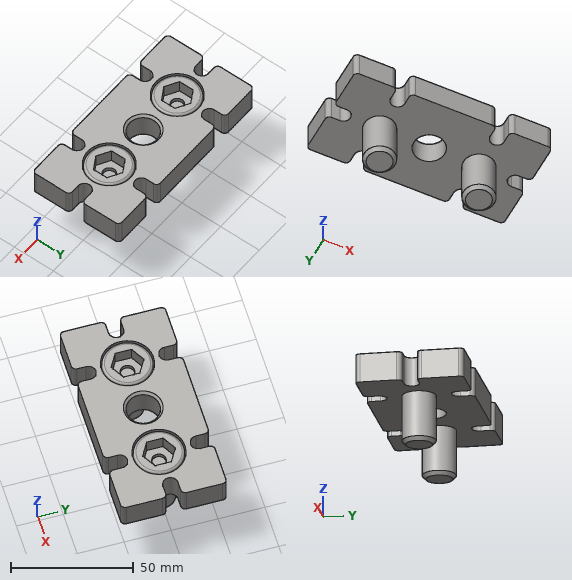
import cadquery as cq

plate_length = 90.0
plate_width = 44.9
plate_thickness = 12.15
corner_radius = 2.0

slot_width = 6.4
slot_depth = 9.0

centre_hole_diameter = 14.0
centre_hole_chamfer = 1.1
chamfer_cone_angle = 90

screw_offset = 22.7
overall_height = 33.0
shank_diameter = 14.0
shank_tip_chamfer = 1.5
head_diameter = 21.1
head_height = 8.5
head_edge_radius = 1.1
hex_across_flats = 12.1
hex_depth = 6.2
pilot_diameter = 6.0
pilot_depth = 1.8

counterbore_diameter = 22.05

screw_positions = [(-screw_offset, 0), (screw_offset, 0)]


def edge_slot(edge_x, edge_y, angle):
    """Cutter for a slot from an edge point, running inward along the angle."""
    return (
        cq.Workplane("XY")
        .slot2D(2 * slot_depth, slot_width)
        .extrude(-plate_thickness)
        .rotate((0, 0, 0), (0, 0, 1), angle)
        .translate((edge_x, edge_y, 0))
    )


def make_plate():
    """Slotted plate with the centre hole and the two screw holes."""
    plate = cq.Workplane("XY").rect(plate_length, plate_width).extrude(-plate_thickness)

    for side in (-1, 1):
        plate = plate.cut(edge_slot(side * plate_length / 2, 0, 0))
        for screw_x, _ in screw_positions:
            plate = plate.cut(edge_slot(screw_x, side * plate_width / 2, 90))

    plate = plate.edges("|Z and (<X or >X or <Y or >Y)").fillet(corner_radius)

    plate = (
        plate.faces(">Z")
        .workplane(origin=(0, 0, 0))
        .cskHole(centre_hole_diameter, centre_hole_diameter + 2 * centre_hole_chamfer, chamfer_cone_angle)
    )

    return (
        plate.faces(">Z")
        .workplane(origin=(0, 0, 0))
        .pushPoints(screw_positions)
        .cboreHole(shank_diameter, counterbore_diameter, head_height)
    )


def make_screw(position):
    """Cap screw with its head flush with the top of the plate."""
    shank = cq.Workplane("XY").circle(shank_diameter / 2).extrude(-overall_height)
    shank = shank.faces("<Z").chamfer(shank_tip_chamfer)

    head = cq.Workplane("XY").circle(head_diameter / 2).extrude(-head_height)
    head = head.faces(">Z").edges().fillet(head_edge_radius)

    socket = cq.Workplane("XY").polygon(6, hex_across_flats, circumscribed=True).extrude(-hex_depth)
    pilot = cq.Workplane("XY").circle(pilot_diameter / 2).extrude(-(hex_depth + pilot_depth))

    screw = head.union(shank).cut(socket).cut(pilot)
    return screw.translate((*position, 0))


plate = make_plate()
screws = [make_screw(position) for position in screw_positions]

result = cq.Compound.makeCompound([plate.val(), *[screw.val() for screw in screws]])